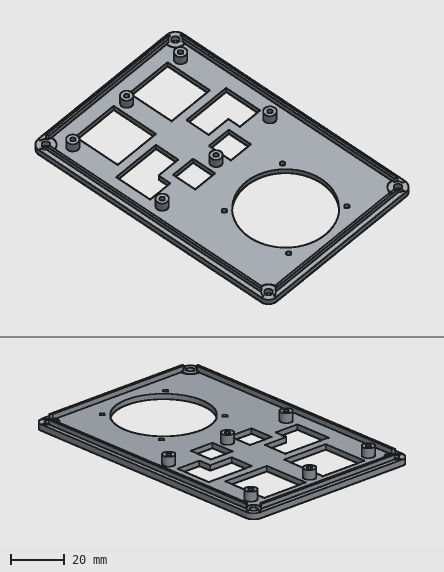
import cadquery as cq

LENGTH = 120.0
WIDTH = 80.0
CORNER_RADIUS = 4.0
FLOOR_HEIGHT = 2.3
PAD_HEIGHT = 2.5
PAD_RECESS = 0.1
RIM_HEIGHT = PAD_HEIGHT + PAD_RECESS

LIP_INSET = 2.0
LIP_WALL = 1.0
LIP_HEIGHT = 1.9
LIP_TOP = RIM_HEIGHT + LIP_HEIGHT

SCREW_HOLE_DIAMETER = 3.2
SCREW_CLEARANCE_DIAMETER = 5.5
SCREW_X = LENGTH / 2 - CORNER_RADIUS
SCREW_Y = WIDTH / 2 - CORNER_RADIUS
SCREW_POINTS = [(sx * SCREW_X, sy * SCREW_Y) for sx in (-1, 1) for sy in (-1, 1)]

STANDOFF_DIAMETER = 5.0
STANDOFF_HOLE_DIAMETER = 2.0
STANDOFF_TOP = 6.2
STANDOFF_COLUMNS = (-48.0, -3.0)
STANDOFF_PITCH = 30.0
STANDOFF_POINTS = [(x, row * STANDOFF_PITCH) for x in STANDOFF_COLUMNS for row in (-1, 0, 1)]

FAN_X = 32.0
FAN_DIAMETER = 40.0
FAN_HOLE_DIAMETER = 2.0
FAN_HOLE_PITCH = 32.4
FAN_HOLE_OFFSET = FAN_HOLE_PITCH / 2
FAN_HOLE_POINTS = [
    (FAN_X + sx * FAN_HOLE_OFFSET, sy * FAN_HOLE_OFFSET) for sx in (-1, 1) for sy in (-1, 1)
]

LARGE_WINDOW_SIZE = 21.2
LARGE_WINDOW_CENTER = (-40.0, 15.0)
SMALL_WINDOW_SIZE = 11.0
SMALL_WINDOW_CENTER = (-5.0, 10.0)
L_WINDOW_LEFT = -25.5
L_WINDOW_BOTTOM = 8.5
L_WINDOW_WIDTH = 17.0
L_WINDOW_HEIGHT = 22.1
L_WINDOW_ARM = 11.2


def slab(length, width, bottom, top):
    """Centered rectangular block between two heights."""
    return cq.Workplane("XY").workplane(offset=bottom).rect(length, width).extrude(top - bottom)


def cylinders(points, diameter, bottom, top):
    """Equal upright cylinders between two heights."""
    base = cq.Workplane("XY").workplane(offset=bottom)
    return base.pushPoints(points).circle(diameter / 2).extrude(top - bottom)


def make_plate():
    """Cross-shaped slab with lip and pocket; round screw pads complete its four corners."""
    lip_length = LENGTH - 2 * LIP_INSET
    lip_width = WIDTH - 2 * LIP_INSET
    plate = slab(LENGTH, 2 * SCREW_Y, 0, RIM_HEIGHT).union(slab(2 * SCREW_X, WIDTH, 0, RIM_HEIGHT))
    lip = slab(lip_length, lip_width, 0, LIP_TOP).edges("|Z").fillet(CORNER_RADIUS - LIP_INSET)
    pocket = slab(lip_length - 2 * LIP_WALL, lip_width - 2 * LIP_WALL, FLOOR_HEIGHT, LIP_TOP)
    clearance = cylinders(SCREW_POINTS, SCREW_CLEARANCE_DIAMETER, PAD_HEIGHT, LIP_TOP)
    pads = cylinders(SCREW_POINTS, 2 * CORNER_RADIUS, 0, PAD_HEIGHT)
    return plate.union(lip).cut(pocket).cut(clearance).union(pads)


def square_window(center, size):
    return cq.Workplane("XY").center(*center).rect(size, size).extrude(LIP_TOP)


def l_window():
    return (
        cq.Workplane("XY")
        .moveTo(L_WINDOW_LEFT, L_WINDOW_BOTTOM)
        .hLine(L_WINDOW_ARM)
        .vLine(L_WINDOW_HEIGHT - L_WINDOW_ARM)
        .hLine(L_WINDOW_WIDTH - L_WINDOW_ARM)
        .vLine(L_WINDOW_ARM)
        .hLine(-L_WINDOW_WIDTH)
        .close()
        .extrude(LIP_TOP)
    )


result = make_plate()

result = result.cut(cylinders(SCREW_POINTS, SCREW_HOLE_DIAMETER, 0, LIP_TOP))
result = result.cut(cylinders([(FAN_X, 0)], FAN_DIAMETER, 0, LIP_TOP))
result = result.cut(cylinders(FAN_HOLE_POINTS, FAN_HOLE_DIAMETER, 0, LIP_TOP))

windows = (
    square_window(LARGE_WINDOW_CENTER, LARGE_WINDOW_SIZE),
    square_window(SMALL_WINDOW_CENTER, SMALL_WINDOW_SIZE),
    l_window(),
)
for window in windows:
    result = result.cut(window).cut(window.mirror("XZ"))

result = result.union(cylinders(STANDOFF_POINTS, STANDOFF_DIAMETER, 0, STANDOFF_TOP))
result = result.cut(cylinders(STANDOFF_POINTS, STANDOFF_HOLE_DIAMETER, FLOOR_HEIGHT, STANDOFF_TOP))